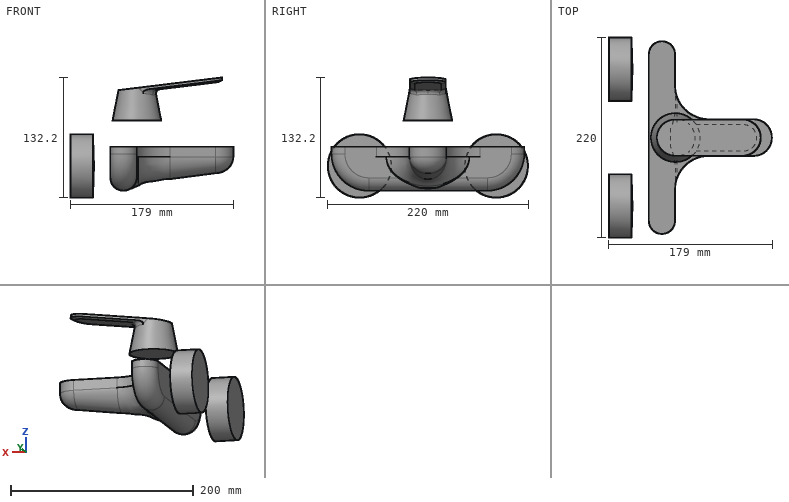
import cadquery as cq
import math

ROSE_RADIUS = 35.0
ROSE_SPACING = 150.0
ROSE_RIM_X = 24.6
ROSE_FACE_X = 25.0
ROSE_RIM_CHAMFER = 0.5
ROSE_TIP_X = 26.2

BAR_RADIUS = 14.5
BAR_BACK_X = 43.8
BAR_LENGTH = 211.6
BAR_BOTTOM_Z = 7.7
BODY_TOP_Z = 56.3
BAR_X = BAR_BACK_X + BAR_RADIUS
BAR_FRONT_X = BAR_X + BAR_RADIUS
BAR_SEAM_Z = 48.5
BAR_BEND_Y = BAR_LENGTH / 2 - (BAR_SEAM_Z - BAR_BOTTOM_Z)

SPOUT_RADIUS = 20.2
SPOUT_TIP_X = 179.0
SPOUT_END_X = SPOUT_TIP_X - SPOUT_RADIUS
SPOUT_SIDE_Z = 44.9
SPOUT_TIP_BOTTOM_Z = 26.8
SPOUT_SLOPE = 0.13
FLARE_RADIUS = 36.5
FLARE_X = BAR_FRONT_X + FLARE_RADIUS
FLARE_Y = SPOUT_RADIUS + FLARE_RADIUS
ROOT_BLEND_X = 85.8
ROOT_BLEND_DROP = 3.5
BURIED_X = 67.3
BURIED_BOTTOM_Z = 10.1
BELLY_START = 1.8
BELLY_SECTIONS = 6

HUB_X = 73.0
HUB_BASE_Z = 84.7
HUB_BASE_RADIUS = 26.8
HUB_TOP_Z = 120.8
PADDLE_RADIUS = 19.8
PADDLE_TIP_X = 166.5
PADDLE_TIP_Z = 132.2
PADDLE_THICKNESS = 4.8
PADDLE_CHAMFER_HEIGHT = 1.8
PADDLE_CHAMFER_WIDTH = 5.3
NECK_FILLET = 4.5
NECK_START = 6.0
NECK_SIDE_GAP = 2.0
NECK_DEPTH = 8.8


def make_rose(center_y):
    """Disc with its axis along X, chamfered at the rim and rising to a low central point."""
    profile = [
        (0, 0),
        (0, ROSE_RADIUS),
        (ROSE_RIM_X, ROSE_RADIUS),
        (ROSE_FACE_X, ROSE_RADIUS - ROSE_RIM_CHAMFER),
        (ROSE_TIP_X, 0),
    ]
    disc = cq.Workplane("XY").polyline(profile).close().revolve(360, (0, 0), (1, 0))
    return disc.translate((0, center_y, ROSE_RADIUS))


def bar_section(y):
    """Upright section below the seam, with parallel sides and a semicircular bottom."""
    axis_z = BAR_BOTTOM_Z + BAR_RADIUS
    return (
        cq.Workplane("XZ", origin=(0, y, 0))
        .moveTo(BAR_BACK_X, BAR_SEAM_Z)
        .lineTo(BAR_BACK_X, axis_z)
        .threePointArc((BAR_X, BAR_BOTTOM_Z), (BAR_FRONT_X, axis_z))
        .lineTo(BAR_FRONT_X, BAR_SEAM_Z)
        .close()
    )


def make_bar():
    """Slot-shaped slab over a round-bottomed bar whose section turns up 90 degrees at each end."""
    slab = (
        cq.Workplane("XY", origin=(BAR_X, 0, BAR_SEAM_Z))
        .slot2D(BAR_LENGTH, 2 * BAR_RADIUS, 90)
        .extrude(BODY_TOP_Z - BAR_SEAM_Z)
    )
    belly = bar_section(0).extrude(BAR_BEND_Y, both=True)
    bend = bar_section(BAR_BEND_Y).revolve(90, (0, BAR_SEAM_Z), (1, BAR_SEAM_Z))
    return slab.union(belly).union(bend).union(bend.mirror("XZ"))


def spout_half_width(x):
    """Half width of the spout, widening along a circular flare toward the bar."""
    if x >= FLARE_X:
        return SPOUT_RADIUS
    return FLARE_Y - math.sqrt(FLARE_RADIUS**2 - (FLARE_X - x) ** 2)


def spout_bottom(x):
    """Height of the underside: a straight slope that dips toward the bar."""
    slope_z = SPOUT_TIP_BOTTOM_Z - SPOUT_SLOPE * (SPOUT_END_X - x)
    blend = max(0, ROOT_BLEND_X - x) / (ROOT_BLEND_X - BAR_FRONT_X)
    return slope_z - ROOT_BLEND_DROP * blend**2


def half_ellipse(x, half_width, bottom_z):
    """Half-ellipse wire across the spout at x, closed along the side line."""
    return (
        cq.Workplane("YZ", origin=(x, 0, SPOUT_SIDE_Z))
        .moveTo(half_width, 0)
        .lineTo(-half_width, 0)
        .ellipseArc(half_width, SPOUT_SIDE_Z - bottom_z, 180, 360, startAtCurrent=True)
        .close()
        .val()
    )


def belly_section(x):
    """Cross section of the spout's belly at x."""
    return half_ellipse(x, spout_half_width(x), spout_bottom(x))


def make_spout_tip():
    """Upright rounded end, closed below by half an ellipsoid as deep as the belly."""
    tip = (
        cq.Workplane("XZ")
        .moveTo(0, BODY_TOP_Z)
        .lineTo(SPOUT_RADIUS, BODY_TOP_Z)
        .lineTo(SPOUT_RADIUS, SPOUT_SIDE_Z)
        .ellipseArc(SPOUT_RADIUS, SPOUT_SIDE_Z - SPOUT_TIP_BOTTOM_Z, 270, 360, sense=-1, startAtCurrent=True)
        .close()
        .revolve(360, (0, 0), (0, 1))
    )
    return tip.translate((SPOUT_END_X, 0, 0))


def make_spout():
    """Flared upper wall, lofted belly and ellipsoidal tip."""
    wall = (
        cq.Workplane("XY", origin=(0, 0, SPOUT_SIDE_Z))
        .moveTo(BAR_X, -FLARE_Y)
        .lineTo(BAR_FRONT_X, -FLARE_Y)
        .radiusArc((FLARE_X, -SPOUT_RADIUS), FLARE_RADIUS)
        .lineTo(SPOUT_END_X, -SPOUT_RADIUS)
        .threePointArc((SPOUT_TIP_X, 0), (SPOUT_END_X, SPOUT_RADIUS))
        .lineTo(FLARE_X, SPOUT_RADIUS)
        .radiusArc((BAR_FRONT_X, FLARE_Y), FLARE_RADIUS)
        .lineTo(BAR_X, FLARE_Y)
        .close()
        .extrude(BODY_TOP_Z - SPOUT_SIDE_Z)
    )
    root_x = BAR_FRONT_X + BELLY_START
    stations = [
        root_x + (FLARE_X - root_x) * (i / BELLY_SECTIONS) ** 2
        for i in range(BELLY_SECTIONS + 1)
    ]
    root_belly = cq.Solid.makeLoft([belly_section(x) for x in stations])
    straight_belly = cq.Solid.makeLoft([belly_section(x) for x in (FLARE_X, SPOUT_END_X)])
    root = belly_extension(root_x)
    return wall.union(root).union(root_belly).union(straight_belly).union(make_spout_tip())


def belly_extension(root_x):
    """Part of the belly that runs back from its root section into the bar."""
    buried_end = half_ellipse(BURIED_X, spout_half_width(root_x), BURIED_BOTTOM_Z)
    return cq.Solid.makeLoft([belly_section(root_x), buried_end])


def make_body():
    """Cross bar and spout joined into one casting."""
    return make_bar().union(make_spout())


def make_lever():
    """Slope-topped conical hub with a round-ended paddle, filleted at the neck."""
    slope = (PADDLE_TIP_Z - HUB_TOP_Z) / (PADDLE_TIP_X - HUB_X)
    tilt = math.degrees(math.atan(slope))
    back_x = HUB_X - HUB_BASE_RADIUS
    back_top_z = HUB_TOP_Z - slope * HUB_BASE_RADIUS
    hub = (
        cq.Workplane("XZ")
        .polyline([(0, HUB_BASE_Z), (HUB_BASE_RADIUS, HUB_BASE_Z), (PADDLE_RADIUS, HUB_TOP_Z), (0, HUB_TOP_Z)])
        .close()
        .revolve(360, (0, 0), (0, 1))
        .translate((HUB_X, 0, 0))
    )
    above_slope = (
        cq.Workplane("XZ")
        .polyline([(back_x, back_top_z), (PADDLE_TIP_X, PADDLE_TIP_Z), (back_x, PADDLE_TIP_Z)])
        .close()
        .extrude(HUB_BASE_RADIUS, both=True)
    )
    hub = hub.cut(above_slope)
    length = math.hypot(PADDLE_TIP_X - HUB_X, PADDLE_TIP_Z - HUB_TOP_Z)
    paddle = (
        cq.Workplane("XY")
        .moveTo(0, -PADDLE_RADIUS)
        .lineTo(length - PADDLE_RADIUS, -PADDLE_RADIUS)
        .threePointArc((length, 0), (length - PADDLE_RADIUS, PADDLE_RADIUS))
        .lineTo(0, PADDLE_RADIUS)
        .close()
        .extrude(-PADDLE_THICKNESS)
    )
    paddle = paddle.edges("<Z and (not <X)").chamfer(PADDLE_CHAMFER_HEIGHT, PADDLE_CHAMFER_WIDTH)
    paddle = paddle.rotate((0, 0, 0), (0, 1, 0), -tilt).translate((HUB_X, 0, HUB_TOP_Z))
    neck = cq.selectors.BoxSelector(
        (HUB_X + NECK_START, -PADDLE_RADIUS + NECK_SIDE_GAP, HUB_TOP_Z - NECK_DEPTH),
        (HUB_X + PADDLE_RADIUS + NECK_SIDE_GAP, PADDLE_RADIUS - NECK_SIDE_GAP, HUB_TOP_Z),
    )
    return hub.union(paddle).edges(neck).fillet(NECK_FILLET)


result = cq.Compound.makeCompound([
    make_body().val(),
    make_lever().val(),
    *[make_rose(side * ROSE_SPACING / 2).val() for side in (-1, 1)],
])